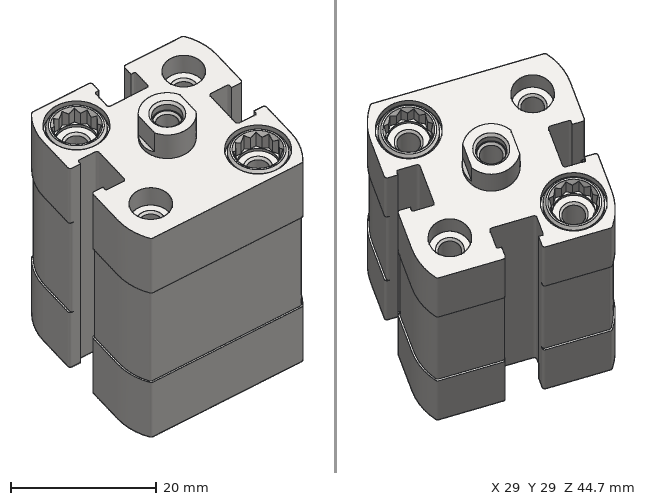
import cadquery as cq
import math

TOTAL_HEIGHT = 44.7
HOUSING_WIDTH = 29.0
HOUSING_HEIGHT = 39.95
CAP_HEIGHT = 11.0
TUBE_INSET = 0.25
TUBE_HEIGHT = HOUSING_HEIGHT - 2 * CAP_HEIGHT
CORNER_ARC_RADIUS = 9.25
CORNER_EDGE_FILLET = 0.5

HOLE_OFFSET = 9.0
HOLE_DIAMETER = 3.25
HOLE_MOUTH_DIAMETER = 4.0
COUNTERBORE_DIAMETER = 6.0
COUNTERBORE_DEPTH = 3.5
PLAIN_HOLE_CENTRES = [(-HOLE_OFFSET, HOLE_OFFSET), (HOLE_OFFSET, -HOLE_OFFSET)]
SOCKET_HOLE_CENTRES = [(-HOLE_OFFSET, -HOLE_OFFSET), (HOLE_OFFSET, HOLE_OFFSET)]

GROOVE_DIAMETER = 9.2
GROOVE_DEPTH = 1.35
RIM_DIAMETER = 8.5
RIM_TOP_DIAMETER = 7.7
RIM_CHAMFER_HEIGHT = 0.45
SOCKET_ACROSS_FLATS = 6.0
HEXAGON_TURN = 30
SOCKET_DEPTH = 3.0
SOCKET_CONE_DIAMETER = 7.15
SOCKET_CONE_ANGLE = 60.0

SLOT_MOUTH_WIDTH = 5.35
SLOT_INNER_WIDTH = 6.8
SLOT_LIP_THICKNESS = 1.88
SLOT_DEPTH = 5.2
SLOT_MOUTH_ROUND = 0.4
SLOT_FLOOR_FILLET = 0.4
SLOT_LIP_FILLET = 0.22
SLOT_ANGLES = [90, 180, 270]

ROD_DIAMETER = 8.0
ROD_PROJECTION = TOTAL_HEIGHT - HOUSING_HEIGHT
ROD_LENGTH = ROD_PROJECTION + CAP_HEIGHT
FLAT_SPACING = 6.97
FLAT_LENGTH = 3.8
FLAT_RUNOUT = 0.25

BORE_MOUTH_DIAMETER = 5.1
RELIEF_DIAMETER = 4.3
RELIEF_DEPTH = 1.5
THREAD_DIAMETER = 4.0
CORE_DIAMETER = 3.25
CORE_DEPTH = 10.0
DRILL_POINT_ANGLE = 118.0


def revolved(points):
    """Turn (radius, z) points about the Z axis into a solid."""
    return cq.Workplane("XZ").polyline(points).close().revolve(360, (0, 0, 0), (0, 1, 0))


def slot_cutter(face, height):
    """T-slot that opens through the +X face at x = face, with rounded mouth edges."""
    mouth = SLOT_MOUTH_WIDTH / 2
    outer = HOUSING_WIDTH / 2
    flare = mouth + SLOT_MOUTH_ROUND
    throat = face - SLOT_MOUTH_ROUND
    cavity_start = outer - SLOT_DEPTH
    cavity_end = outer - SLOT_LIP_THICKNESS
    cavity = (
        cq.Workplane("XY")
        .center((cavity_start + cavity_end) / 2, 0)
        .rect(cavity_end - cavity_start, SLOT_INNER_WIDTH)
        .extrude(height)
        .edges("|Z and <X").fillet(SLOT_FLOOR_FILLET)
        .edges("|Z and >X").fillet(SLOT_LIP_FILLET)
    )
    opening = (
        cq.Workplane("XY")
        .moveTo(cavity_start, -mouth)
        .lineTo(throat, -mouth)
        .radiusArc((face, -flare), SLOT_MOUTH_ROUND)
        .lineTo(face, flare)
        .radiusArc((throat, mouth), SLOT_MOUTH_ROUND)
        .lineTo(cavity_start, mouth)
        .close()
        .extrude(height)
    )
    return cavity.union(opening)


def housing_section(inset, base_z, height):
    """Length of the housing profile, drawn in by `inset` on every side."""
    half = HOUSING_WIDTH / 2 - inset
    corner_run = half - HOLE_OFFSET
    corner_y = half - CORNER_ARC_RADIUS + math.sqrt(CORNER_ARC_RADIUS**2 - corner_run**2)
    section = (
        cq.Workplane("XY")
        .moveTo(-HOLE_OFFSET, half)
        .lineTo(HOLE_OFFSET, half)
        .radiusArc((half, corner_y), CORNER_ARC_RADIUS)
        .lineTo(half, -corner_y)
        .radiusArc((HOLE_OFFSET, -half), CORNER_ARC_RADIUS)
        .lineTo(-HOLE_OFFSET, -half)
        .radiusArc((-half, -corner_y), CORNER_ARC_RADIUS)
        .lineTo(-half, corner_y)
        .radiusArc((-HOLE_OFFSET, half), CORNER_ARC_RADIUS)
        .close()
        .extrude(height)
        .edges("|Z and (<X or >X)").fillet(CORNER_EDGE_FILLET)
    )
    cutter = slot_cutter(half, height)
    for angle in SLOT_ANGLES:
        section = section.cut(cutter.rotate((0, 0, 0), (0, 0, 1), angle))
    return section.translate((0, 0, base_z))


def counterbored_hole():
    """Through hole with a chamfered mouth at the floor of its counterbore."""
    bore = COUNTERBORE_DIAMETER / 2
    mouth = HOLE_MOUTH_DIAMETER / 2
    hole = HOLE_DIAMETER / 2
    floor_z = HOUSING_HEIGHT - COUNTERBORE_DEPTH
    return revolved([
        (0, 0),
        (hole, 0),
        (hole, floor_z - (mouth - hole)),
        (mouth, floor_z),
        (bore, floor_z),
        (bore, HOUSING_HEIGHT),
        (0, HOUSING_HEIGHT),
    ])


def socket_cutters():
    """Ring groove, and the coned twelve-point socket with its counterbored hole."""
    rim_z = HOUSING_HEIGHT
    groove_z = HOUSING_HEIGHT - GROOVE_DEPTH
    cone_radius = SOCKET_CONE_DIAMETER / 2
    cone_depth = cone_radius * math.tan(math.radians(SOCKET_CONE_ANGLE))
    groove = revolved([
        (GROOVE_DIAMETER / 2, rim_z),
        (GROOVE_DIAMETER / 2, groove_z),
        (RIM_DIAMETER / 2, groove_z),
        (RIM_DIAMETER / 2, rim_z - RIM_CHAMFER_HEIGHT),
        (RIM_TOP_DIAMETER / 2, rim_z),
    ])
    cone = revolved([
        (0, rim_z),
        (cone_radius, rim_z),
        (0, rim_z - cone_depth),
    ])
    hexagon = (
        cq.Workplane("XY", origin=(0, 0, HOUSING_HEIGHT - SOCKET_DEPTH))
        .polygon(6, SOCKET_ACROSS_FLATS, circumscribed=True)
        .extrude(SOCKET_DEPTH)
    )
    turned_hexagon = hexagon.rotate((0, 0, 0), (0, 0, 1), HEXAGON_TURN)
    socket = cone.union(hexagon).union(turned_hexagon).union(counterbored_hole())
    return [groove, socket]


def make_housing():
    """Caps and tube as one solid, with the fastening holes and the rod guide."""
    housing = (
        housing_section(0, 0, CAP_HEIGHT)
        .union(housing_section(TUBE_INSET, CAP_HEIGHT, TUBE_HEIGHT))
        .union(housing_section(0, CAP_HEIGHT + TUBE_HEIGHT, CAP_HEIGHT))
    )
    plain_hole = counterbored_hole()
    for x, y in PLAIN_HOLE_CENTRES:
        housing = housing.cut(plain_hole.translate((x, y, 0)))
    cutters = socket_cutters()
    for x, y in SOCKET_HOLE_CENTRES:
        for cutter in cutters:
            housing = housing.cut(cutter.translate((x, y, 0)))
    return housing.faces(">Z").workplane(origin=(0, 0, 0)).hole(ROD_DIAMETER, CAP_HEIGHT)


def rod_bore():
    """Stepped bore in the rod end, with its mouth at z = 0."""
    mouth = BORE_MOUTH_DIAMETER / 2
    relief = RELIEF_DIAMETER / 2
    thread = THREAD_DIAMETER / 2
    core = CORE_DIAMETER / 2
    point_height = core / math.tan(math.radians(DRILL_POINT_ANGLE / 2))
    return revolved([
        (0, 0),
        (mouth, 0),
        (relief, -(mouth - relief)),
        (relief, -RELIEF_DEPTH),
        (thread, -RELIEF_DEPTH),
        (core, -RELIEF_DEPTH - (thread - core)),
        (core, -CORE_DEPTH),
        (0, -CORE_DEPTH - point_height),
    ])


def wrench_flat():
    """Cutter for the flat on the +Y side of the rod end, with a sloping run-out."""
    flat = FLAT_SPACING / 2
    edge = ROD_DIAMETER / 2
    return (
        cq.Workplane("YZ")
        .polyline([(flat, 0), (edge, 0), (edge, -FLAT_LENGTH - FLAT_RUNOUT), (flat, -FLAT_LENGTH)])
        .close()
        .extrude(edge, both=True)
    )


def make_piston_rod():
    """Rod with two wrench flats and a stepped bore in its free end."""
    rod = cq.Workplane("XY").circle(ROD_DIAMETER / 2).extrude(-ROD_LENGTH)
    flat = wrench_flat()
    rod = rod.cut(flat).cut(flat.mirror("XZ")).cut(rod_bore())
    return rod.translate((0, 0, TOTAL_HEIGHT))


housing = make_housing()
piston_rod = make_piston_rod()

result = cq.Compound.makeCompound([housing.solids().val(), piston_rod.solids().val()])